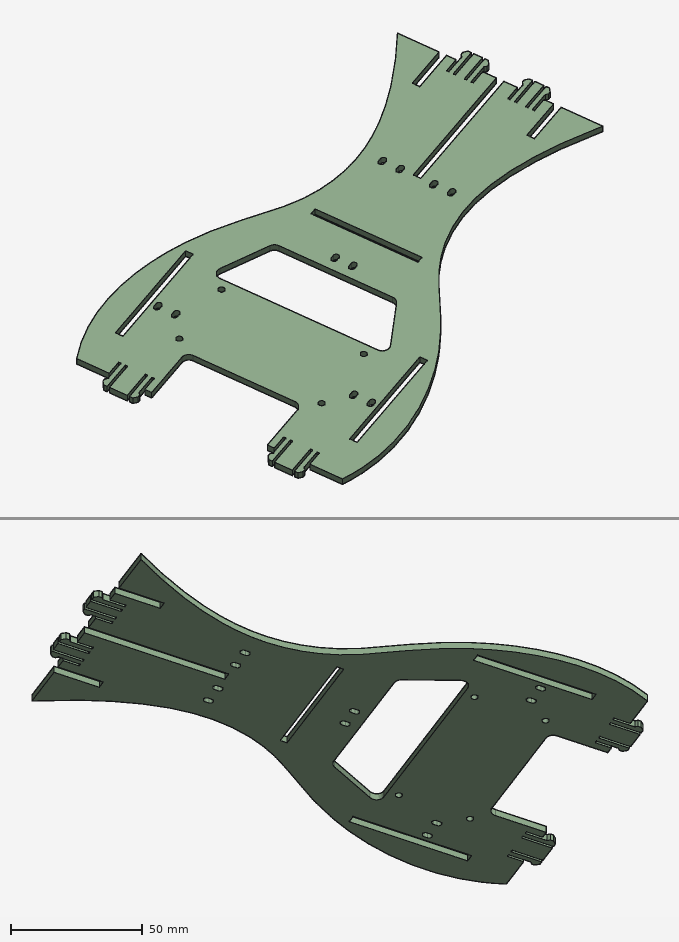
import cadquery as cq

LENGTH = 222.0
THICKNESS = 3.0
TAB_REACH = 6.2
END_Y = LENGTH / 2 - TAB_REACH
FRONT_HALF_WIDTH = 46.2
THROAT_HALF_WIDTH = 30.9
THROAT_Y = 72.8
WAIST_HALF_WIDTH = 24.6
WAIST_Y = 38.5
SHOULDER_HALF_WIDTH = 31.0
SHOULDER_Y = 11.5
FLANK_HALF_WIDTH = 46.5
FLANK_Y = -12.5
HAUNCH_HALF_WIDTH = 59.0
HAUNCH_Y = -36.9
HIP_HALF_WIDTH = 66.2
HIP_Y = -73.3
REAR_HALF_WIDTH = 59.7

SLOT_WIDTH = 3.3
FRONT_SLOT_X = 25.8
FRONT_SLOT_DEPTH = 19.3
CENTRE_SLOT_DEPTH = 60.0
CROSS_SLOT_LENGTH = 48.0
CROSS_SLOT_WIDTH = 2.9
CROSS_SLOT_Y = 8.5
SIDE_SLOT_LENGTH = 50.6
SIDE_SLOT_X = 52.6
SIDE_SLOT_Y = -60.2

WINDOW_TOP_Y = -13.8
WINDOW_BOTTOM_Y = -40.2
WINDOW_TOP_HALF_WIDTH = 27.5
WINDOW_BOTTOM_HALF_WIDTH = 40.5
NOTCH_HALF_WIDTH = 26.0
NOTCH_TOP_Y = -80.0
CORNER_RADIUS = 3.0

TIE_HOLE_WIDTH = 2.5
TIE_HOLE_LENGTH = 4.0
TIE_HOLE_SPACING = 8.0
TIE_PAIR_CENTRES = [(-11.5, 44.8), (11.5, 44.8), (0, -7.8), (-44.0, -65.0), (44.0, -65.0)]
SCREW_HOLE_DIAMETER = 2.7
SCREW_HOLE_X = 32.0
SCREW_HOLE_FRONT_Y = -44.8
SCREW_HOLE_REAR_Y = -75.3

GAP = 1.0
FINGER_WIDTH = 2.0
SLIT_DEPTH = 6.9
BARB_REACH = 0.9
BARB_TIP_INSET = 1.3
BARB_CHAMFER = 1.5
BARB_FLAT = 1.3
BARB_SHOULDER = 0.9
FRONT_TAB_X = 13.8
FRONT_TONGUE_WIDTH = 4.0
REAR_TAB_X = 37.0
REAR_TONGUE_WIDTH = 8.0


def prism(sketch):
    return sketch.extrude(THICKNESS)


def block(width, length, x, y):
    return prism(cq.Workplane().center(x, y).rect(width, length))


def plate_outline():
    side = [
        (THROAT_HALF_WIDTH, THROAT_Y),
        (WAIST_HALF_WIDTH, WAIST_Y),
        (SHOULDER_HALF_WIDTH, SHOULDER_Y),
        (FLANK_HALF_WIDTH, FLANK_Y),
        (HAUNCH_HALF_WIDTH, HAUNCH_Y),
        (HIP_HALF_WIDTH, HIP_Y),
        (REAR_HALF_WIDTH, -END_Y),
    ]
    left_side = [(-x, y) for x, y in reversed(side[:-1])] + [(-FRONT_HALF_WIDTH, END_Y)]
    return prism(
        cq.Workplane()
        .moveTo(FRONT_HALF_WIDTH, END_Y)
        .spline(side, includeCurrent=True)
        .lineTo(-REAR_HALF_WIDTH, -END_Y)
        .spline(left_side, includeCurrent=True)
        .close()
    )


def straight_slots():
    front_y = END_Y - FRONT_SLOT_DEPTH / 2
    slots = block(SLOT_WIDTH, CENTRE_SLOT_DEPTH, 0, END_Y - CENTRE_SLOT_DEPTH / 2)
    slots = slots.union(block(CROSS_SLOT_LENGTH, CROSS_SLOT_WIDTH, 0, CROSS_SLOT_Y))
    for side in (-1, 1):
        slots = slots.union(block(SLOT_WIDTH, FRONT_SLOT_DEPTH, side * FRONT_SLOT_X, front_y))
        slots = slots.union(block(SLOT_WIDTH, SIDE_SLOT_LENGTH, side * SIDE_SLOT_X, SIDE_SLOT_Y))
    return slots


def window():
    corners = [
        (-WINDOW_TOP_HALF_WIDTH, WINDOW_TOP_Y),
        (WINDOW_TOP_HALF_WIDTH, WINDOW_TOP_Y),
        (WINDOW_BOTTOM_HALF_WIDTH, WINDOW_BOTTOM_Y),
        (-WINDOW_BOTTOM_HALF_WIDTH, WINDOW_BOTTOM_Y),
    ]
    return prism(cq.Workplane().polyline(corners).close()).edges("|Z").fillet(CORNER_RADIUS)


def rear_notch():
    depth = NOTCH_TOP_Y + END_Y
    notch = block(2 * NOTCH_HALF_WIDTH, depth, 0, NOTCH_TOP_Y - depth / 2)
    return notch.edges("|Z and >Y").fillet(CORNER_RADIUS)


def tie_holes():
    half_spacing = TIE_HOLE_SPACING / 2
    centres = [(x + step, y) for x, y in TIE_PAIR_CENTRES for step in (-half_spacing, half_spacing)]
    return prism(cq.Workplane().pushPoints(centres).slot2D(TIE_HOLE_LENGTH, TIE_HOLE_WIDTH, 90))


def screw_holes():
    rows = (SCREW_HOLE_FRONT_Y, SCREW_HOLE_REAR_Y)
    centres = [(x, y) for x in (-SCREW_HOLE_X, SCREW_HOLE_X) for y in rows]
    return prism(cq.Workplane().pushPoints(centres).circle(SCREW_HOLE_DIAMETER / 2))


def finger(inner_x):
    """Barbed +X finger of a tab at the +Y end; the tab is centred on X = 0."""
    outer_x = inner_x + FINGER_WIDTH
    barb_x = outer_x + BARB_REACH
    tip_y = LENGTH / 2
    flat_top_y = tip_y - BARB_CHAMFER
    flat_bottom_y = flat_top_y - BARB_FLAT
    points = [
        (inner_x, END_Y - SLIT_DEPTH),
        (outer_x, END_Y - SLIT_DEPTH),
        (outer_x, flat_bottom_y - BARB_SHOULDER),
        (barb_x, flat_bottom_y),
        (barb_x, flat_top_y),
        (barb_x - BARB_TIP_INSET, tip_y),
        (inner_x, tip_y),
    ]
    return prism(cq.Workplane().polyline(points).close())


def snap_tab(tongue_width):
    """Tab at the +Y end, centred on X = 0, and the pocket it stands in."""
    finger_x = tongue_width / 2 + GAP
    pocket_width = 2 * (finger_x + FINGER_WIDTH + GAP)
    pocket = block(pocket_width, SLIT_DEPTH, 0, END_Y - SLIT_DEPTH / 2)
    tongue_length = SLIT_DEPTH + TAB_REACH
    tongue = block(tongue_width, tongue_length, 0, LENGTH / 2 - tongue_length / 2)
    right_finger = finger(finger_x)
    return pocket, tongue.union(right_finger).union(right_finger.mirror("YZ"))


def add_snap_tabs(plate):
    front_pocket, front_tab = snap_tab(FRONT_TONGUE_WIDTH)
    rear_pocket, rear_tab = [shape.mirror("XZ") for shape in snap_tab(REAR_TONGUE_WIDTH)]
    for side in (-1, 1):
        front_place = (side * FRONT_TAB_X, 0, 0)
        rear_place = (side * REAR_TAB_X, 0, 0)
        plate = plate.cut(front_pocket.translate(front_place)).union(front_tab.translate(front_place))
        plate = plate.cut(rear_pocket.translate(rear_place)).union(rear_tab.translate(rear_place))
    return plate


plate = plate_outline()
for opening in (straight_slots(), window(), rear_notch(), tie_holes(), screw_holes()):
    plate = plate.cut(opening)

result = add_snap_tabs(plate)